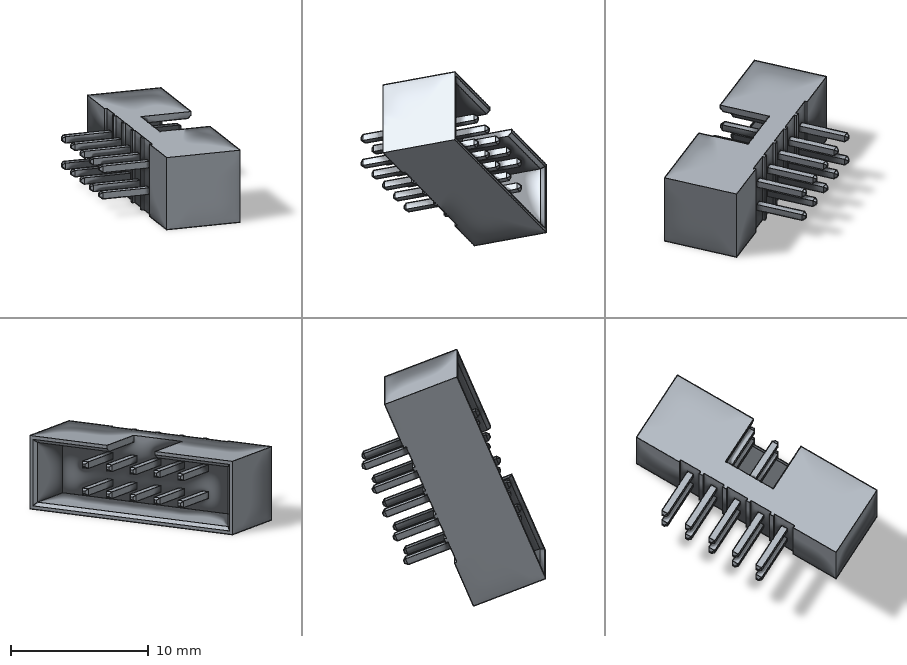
import cadquery as cq


length = 17.0
height = 5.45
depth = 5.66
wall = 0.51
cavity_depth = 3.86
mouth_chamfer = 0.25

slot_width = 4.03

recess_width = 9.69
recess_depth = 0.19
rib_width = 0.3

columns = 5
rows = 2
pin_span = 8.0
pitch = pin_span / (columns - 1)
pin_size = 0.5
tip_size = 0.2
tip_length = 0.2
pin_setback = 0.08
overall_depth = 9.25

floor_y = depth - cavity_depth
pin_end_y = depth - pin_setback
pin_start_y = depth - overall_depth


def block(size_x, y_start, y_end, size_z):
    """Box centred on the Y axis, spanning y_start to y_end."""
    box = cq.Workplane("XY").box(size_x, y_end - y_start, size_z, centered=(True, False, True))
    return box.translate((0, y_start, 0))


def taper(start_x, start_z, y_start, end_x, end_z, y_end):
    """Rectangular frustum along Y, changing size from y_start to y_end."""
    return (
        cq.Workplane("XZ", origin=(0, y_start, 0))
        .rect(start_x, start_z)
        .workplane(offset=y_start - y_end)
        .rect(end_x, end_z)
        .loft(ruled=True)
    )


def make_cavity():
    """Open pocket with a chamfered mouth."""
    cavity_x = length - 2 * wall
    cavity_z = height - 2 * wall
    pocket = block(cavity_x, floor_y, depth, cavity_z)
    mouth = taper(
        cavity_x,
        cavity_z,
        depth - mouth_chamfer,
        cavity_x + 2 * mouth_chamfer,
        cavity_z + 2 * mouth_chamfer,
        depth,
    )
    return pocket.union(mouth)


def make_slot():
    """Opening in the +Z wall, as deep as the cavity."""
    return block(slot_width, floor_y, depth, height / 2).translate((0, 0, height / 2))


def make_housing():
    housing = block(length, 0, depth, height)
    housing = housing.cut(block(recess_width, 0, recess_depth, height))
    for gap in range(columns - 1):
        rib_x = (gap + 0.5) * pitch - pin_span / 2
        rib = block(rib_width, 0, 2 * recess_depth, height).translate((rib_x, 0, 0))
        housing = housing.union(rib)
    return housing.cut(make_cavity()).cut(make_slot())


def make_pin():
    """Square pin on the Y axis, tapered at both ends."""
    shaft_start_y = pin_start_y + tip_length
    shaft_end_y = pin_end_y - tip_length
    shaft = block(pin_size, shaft_start_y, shaft_end_y, pin_size)
    tail_tip = taper(pin_size, pin_size, shaft_start_y, tip_size, tip_size, pin_start_y)
    mating_tip = taper(pin_size, pin_size, shaft_end_y, tip_size, tip_size, pin_end_y)
    return shaft.union(tail_tip).union(mating_tip)


result = make_housing()
pin = make_pin()
for column in range(columns):
    for row in range(rows):
        pin_x = column * pitch - pin_span / 2
        pin_z = (row - (rows - 1) / 2) * pitch
        result = result.union(pin.translate((pin_x, 0, pin_z)))